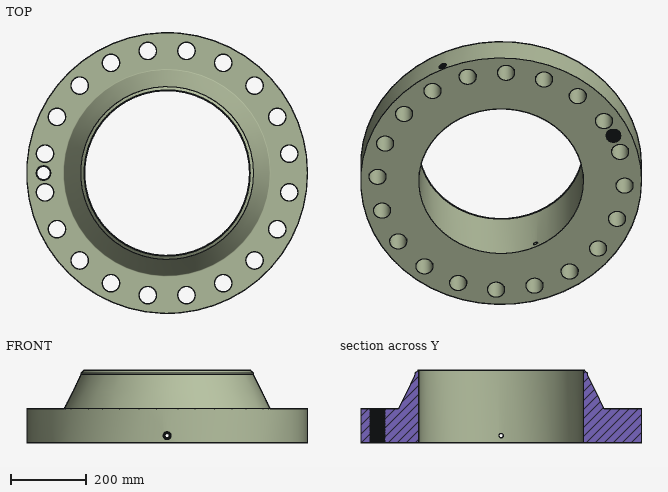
import cadquery as cq

flange_diameter = 743.0
flange_thickness = 91.0
bore_diameter = 435.0

overall_height = 192.5
hub_base_diameter = 545.0
hub_base_fillet = 3.0
pipe_diameter = 457.0
pipe_land_height = 4.5
bevel_height = 7.5
root_face_width = 2.0

bolt_count = 20
bolt_circle_diameter = 654.0
bolt_hole_diameter = 45.0

jack_major_diameter = 39.0
jack_minor_diameter = 35.0
jack_pitch = 3.2

port_height = 19.0
port_major_diameter = 21.0
port_minor_diameter = 17.0
port_pitch = 1.85
port_thread_depth = 22.0
port_drill_diameter = 11.0

flange_radius = flange_diameter / 2
bolt_circle_radius = bolt_circle_diameter / 2


def make_body():
    """Flange, hub and bore as one revolved profile (radius, height)."""
    bore_radius = bore_diameter / 2
    hub_base_radius = hub_base_diameter / 2
    pipe_radius = pipe_diameter / 2
    bevel_bottom = overall_height - bevel_height
    root_face_radius = bore_radius + root_face_width
    profile = [
        (bore_radius, 0),
        (flange_radius, 0),
        (flange_radius, flange_thickness),
        (hub_base_radius, flange_thickness),
        (pipe_radius, bevel_bottom - pipe_land_height),
        (pipe_radius, bevel_bottom),
        (root_face_radius, overall_height),
        (bore_radius, overall_height),
    ]
    body = cq.Workplane("XZ").polyline(profile).close().revolve(360, (0, 0, 0), (0, 1, 0))
    hub_base_edge = cq.selectors.RadiusNthSelector(-2)
    return body.edges("%CIRCLE").edges(hub_base_edge).fillet(hub_base_fillet)


def make_thread_cutter(major_diameter, minor_diameter, pitch, length):
    """Hole cutter along +Z whose wall is a row of V-shaped rings standing for a thread."""
    major_radius = major_diameter / 2
    minor_radius = minor_diameter / 2
    turn_count = round(length / pitch)
    turn_length = length / turn_count
    profile = [(0, 0), (major_radius, 0)]
    for turn in range(turn_count):
        profile.append((minor_radius, (turn + 0.5) * turn_length))
        profile.append((major_radius, (turn + 1) * turn_length))
    profile.append((0, length))
    return cq.Workplane("XZ").polyline(profile).close().revolve(360, (0, 0, 0), (0, 1, 0))


def make_bolt_holes():
    half_spacing = 180 / bolt_count
    return (
        cq.Workplane("XY")
        .polarArray(bolt_circle_radius, half_spacing, 360, bolt_count)
        .circle(bolt_hole_diameter / 2)
        .extrude(flange_thickness)
    )


def make_jack_hole():
    cutter = make_thread_cutter(jack_major_diameter, jack_minor_diameter, jack_pitch, flange_thickness)
    return cutter.translate((-bolt_circle_radius, 0, 0))


def make_side_port():
    """Threaded port entering from -Y, with a smaller drill reaching the bore axis."""
    thread = make_thread_cutter(port_major_diameter, port_minor_diameter, port_pitch, port_thread_depth)
    drill = cq.Workplane("XY").circle(port_drill_diameter / 2).extrude(flange_radius)
    port = thread.union(drill).rotate((0, 0, 0), (1, 0, 0), -90)
    return port.translate((0, -flange_radius, port_height))


side_port = make_side_port()
result = (
    make_body()
    .cut(make_bolt_holes())
    .cut(make_jack_hole())
    .cut(side_port)
    .cut(side_port.mirror("XZ"))
)